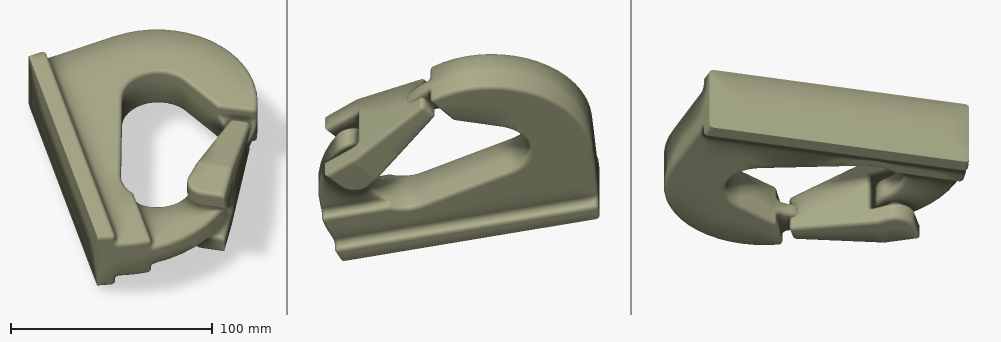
import cadquery as cq
import math

EDGE = 2.0

PLATE_LEFT = -41.1
PLATE_RIGHT = 91.2
PLATE_DEPTH = 9.1
PLATE_HEIGHT = 34.8

BODY_HEIGHT = 23.0
OUTER_CENTRE = (0.0, 55.0)
OUTER_RADIUS = 50.0
BACK_CENTRE = (33.0, 24.8)

OPENING_RADIUS = 18.0
OPENING_LEFT = (-1.2, 56.0)
OPENING_RIGHT = (49.0, 41.9)

PIN_CENTRE = (68.5, 61.9)
PIN_DIAMETER = 8.0
ARM_HEIGHT = 12.1
ARM_STEP_Y = 27.0

LATCH_TILT = math.degrees(math.atan(0.5))
ROOF_LENGTH = 22.0
ROOF_ARC_RADIUS = 22.4
TIP_ARC_RADIUS = 18.8
TONGUE_HEIGHT = 7.2
TONGUE_STEP_POINT = (17.8, 94.7)
TONGUE_STEP_TILT = 24.0

LATCH_HEIGHT = 40.0
LATCH_ROUND_RADIUS = 9.5
LATCH_OUTER_Y = 11.1
LATCH_TIP_X = -54.5
LATCH_TIP_INNER_Y = 1.2
TOP_BEND_X = -11.0
TOP_TIP_Z = 9.1
BOTTOM_BEND_X = -8.2
BOTTOM_TIP_Z = -10.4
JAW_GAP = 20.0
JAW_ROOT_X = -11.5

REACH = 288.7
TINY = 0.01


def on_circle(centre, radius, angle):
    """Point of a circle at an angle in radians."""
    return (centre[0] + radius * math.cos(angle), centre[1] + radius * math.sin(angle))


def direction(start, end):
    """Angle in radians of the line from start to end."""
    return math.atan2(end[1] - start[1], end[0] - start[0])


def tangent_angle(point, centre, radius, side):
    """Angle on the circle where a line from an outside point touches it; side is +1 or -1."""
    return direction(centre, point) + side * math.acos(radius / math.dist(point, centre))


def circle_crossing(centre_a, radius_a, centre_b, radius_b):
    """Angle on circle a of its crossing with circle b that lies clockwise of the centre line."""
    span = math.dist(centre_a, centre_b)
    offset = math.acos((radius_a**2 + span**2 - radius_b**2) / (2 * radius_a * span))
    return direction(centre_a, centre_b) - offset


def add_arc(outline, centre, radius, start, end):
    """Continue the outline along a circle between two angles."""
    return outline.threePointArc(
        on_circle(centre, radius, (start + end) / 2), on_circle(centre, radius, end)
    )


def zone(x_min, x_max, y_min, y_max):
    """Tall block that picks one area of the part."""
    return (
        cq.Workplane("XY")
        .rect(x_max - x_min, y_max - y_min)
        .extrude(PLATE_HEIGHT, both=True)
        .translate(((x_min + x_max) / 2, (y_min + y_max) / 2, 0))
    )


def hook_outline():
    """Closed C-shaped outline, running anticlockwise from the left end of the plate."""
    foot_left = (PLATE_LEFT, 0)
    foot_right = (PLATE_RIGHT, 0)

    arm_radius = math.dist(PIN_CENTRE, OPENING_RIGHT) - OPENING_RADIUS
    back_radius = math.dist(PIN_CENTRE, BACK_CENTRE) + arm_radius
    back_start = tangent_angle(foot_right, BACK_CENTRE, back_radius, 1)
    back_end = direction(BACK_CENTRE, PIN_CENTRE)
    arm_end = direction(PIN_CENTRE, OPENING_RIGHT) + 2 * math.pi

    floor_normal = direction(OPENING_LEFT, OPENING_RIGHT) - math.pi / 2
    roof_slope = math.radians(LATCH_TILT)
    roof_start = roof_slope + math.pi / 2
    roof_point = on_circle(OPENING_LEFT, OPENING_RADIUS, roof_start)
    roof_end = on_circle(roof_point, ROOF_LENGTH, roof_slope)
    roof_centre = on_circle(roof_end, ROOF_ARC_RADIUS, roof_slope - math.pi / 2)

    tip_centre = (roof_centre[0], roof_centre[1] + ROOF_ARC_RADIUS + TIP_ARC_RADIUS)
    outer_start = circle_crossing(OUTER_CENTRE, OUTER_RADIUS, tip_centre, TIP_ARC_RADIUS)
    tip_point = on_circle(OUTER_CENTRE, OUTER_RADIUS, outer_start)
    tip_end = direction(tip_centre, tip_point)
    outer_end = tangent_angle(foot_left, OUTER_CENTRE, OUTER_RADIUS, -1) + 2 * math.pi

    outline = cq.Workplane("XY").moveTo(*foot_left).lineTo(*foot_right)
    outline = outline.lineTo(*on_circle(BACK_CENTRE, back_radius, back_start))
    outline = add_arc(outline, BACK_CENTRE, back_radius, back_start, back_end)
    outline = add_arc(outline, PIN_CENTRE, arm_radius, back_end, arm_end)
    outline = add_arc(outline, OPENING_RIGHT, OPENING_RADIUS, arm_end - math.pi, floor_normal)
    outline = outline.lineTo(*on_circle(OPENING_LEFT, OPENING_RADIUS, floor_normal))
    outline = add_arc(
        outline, OPENING_LEFT, OPENING_RADIUS, floor_normal, roof_start - 2 * math.pi
    )
    outline = outline.lineTo(*roof_end)
    outline = add_arc(outline, roof_centre, ROOF_ARC_RADIUS, roof_start, math.pi / 2)
    outline = add_arc(outline, tip_centre, TIP_ARC_RADIUS, -math.pi / 2, tip_end)
    outline = add_arc(outline, OUTER_CENTRE, OUTER_RADIUS, outer_start, outer_end)
    return outline.close()


def slab(height):
    """Hook outline with a given height, centred on Z = 0."""
    return hook_outline().extrude(height / 2, both=True)


def is_off_middle(edge):
    """False for the upright seams of the outline, which are centred on the middle plane."""
    return abs(edge.Center().z) > TINY


plate_zone = zone(-REACH, REACH, 0, PLATE_DEPTH)
arm_zone = zone(OPENING_RIGHT[0], REACH, ARM_STEP_Y, REACH)
tongue_zone = (
    zone(0, REACH, -REACH, REACH)
    .rotate((0, 0, 0), (0, 0, 1), -TONGUE_STEP_TILT)
    .translate((*TONGUE_STEP_POINT, 0))
    .intersect(zone(-REACH, OPENING_RIGHT[0], OPENING_LEFT[1], REACH))
)
body = slab(BODY_HEIGHT).cut(arm_zone).cut(tongue_zone)
hook = (
    body.union(slab(PLATE_HEIGHT).intersect(plate_zone))
    .union(slab(ARM_HEIGHT).intersect(arm_zone))
    .union(slab(TONGUE_HEIGHT).intersect(tongue_zone))
)

hook = hook.edges("not <Y").filter(is_off_middle).fillet(EDGE)


def latch_plan():
    """Plan of the latch: straight outer edge, rounded pin end, tapering to the tip."""
    tip_inner = (LATCH_TIP_X, LATCH_TIP_INNER_Y)
    round_start = tangent_angle(tip_inner, (0, 0), LATCH_ROUND_RADIUS, 1)
    if round_start > 0:
        round_start -= 2 * math.pi
    plan = cq.Workplane("XY").moveTo(LATCH_TIP_X, LATCH_OUTER_Y).lineTo(*tip_inner)
    plan = plan.lineTo(*on_circle((0, 0), LATCH_ROUND_RADIUS, round_start))
    plan = add_arc(plan, (0, 0), LATCH_ROUND_RADIUS, round_start, 0)
    return plan.lineTo(LATCH_ROUND_RADIUS, LATCH_OUTER_Y).close().extrude(LATCH_HEIGHT, both=True)


def latch_side():
    """Side shape of the latch: full height at the pin, thinning towards the tip."""
    half = LATCH_HEIGHT / 2
    return (
        cq.Workplane("XZ")
        .polyline([
            (LATCH_TIP_X, BOTTOM_TIP_Z),
            (BOTTOM_BEND_X, -half),
            (LATCH_ROUND_RADIUS, -half),
            (LATCH_ROUND_RADIUS, half),
            (TOP_BEND_X, half),
            (LATCH_TIP_X, TOP_TIP_Z),
        ])
        .close()
        .extrude(LATCH_HEIGHT, both=True)
    )


def is_rounded_latch_edge(edge):
    """True except for the bend lines, the upper slot corner and the upright edges at the pin end."""
    place = edge.Center()
    box = edge.BoundingBox()
    upright = box.zlen > EDGE and math.hypot(box.xlen, box.ylen) < EDGE
    bend = abs(place.z) > LATCH_HEIGHT / 2 - TINY and box.xlen < TINY and place.x < 0
    upper_corner = box.xlen < TINY and abs(place.x - JAW_ROOT_X) < TINY and place.z > EDGE
    return not bend and not upper_corner and not (upright and place.x > JAW_ROOT_X + EDGE)


def place_on_pin(shape):
    """Move a shape from the latch frame to its place on the hook."""
    return shape.rotate((0, 0, 0), (0, 0, 1), -LATCH_TILT).translate((*PIN_CENTRE, 0))


jaw_slot = zone(JAW_ROOT_X, REACH, -REACH, REACH).intersect(
    cq.Workplane("XY").box(2 * REACH, 2 * REACH, JAW_GAP)
)
latch = latch_plan().intersect(latch_side()).cut(jaw_slot)
latch = latch.edges().filter(is_rounded_latch_edge).fillet(EDGE)

pin = cq.Workplane("XY").circle(PIN_DIAMETER / 2).extrude(LATCH_HEIGHT / 2, both=True)
pin = place_on_pin(pin)

latch = place_on_pin(latch).cut(hook).cut(pin)
hook = hook.cut(pin)

result = cq.Compound.makeCompound([hook.val(), latch.val(), pin.val()])